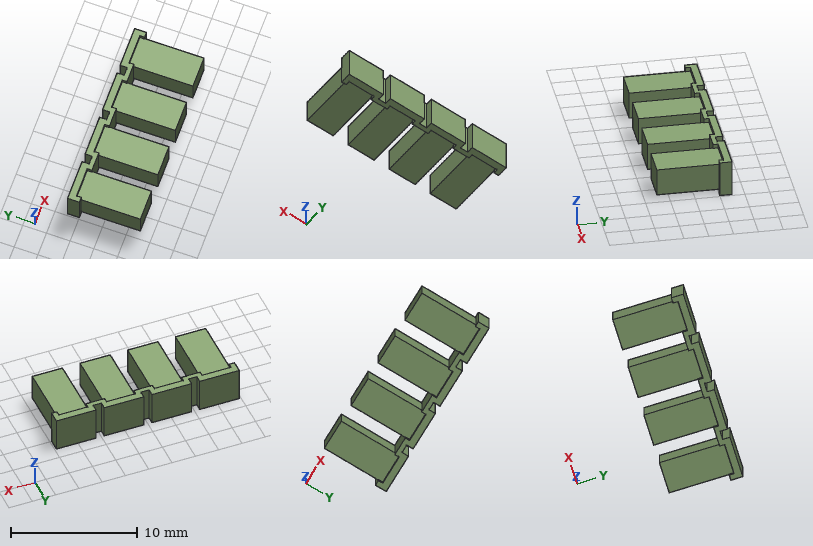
import cadquery as cq

BLOCK_COUNT = 4
BLOCK_PITCH = 4.1
BLOCK_WIDTH = 3.4
STRIP_HEIGHT = 3.0
STRIP_THICKNESS = 1.0
TOTAL_DEPTH = 6.0

WEB_THICKNESS = 0.4
RECESS_WIDTH = 2.5

PRONG_WIDTH = 2.6
PRONG_HEIGHT = 2.3

STRIP_LENGTH = (BLOCK_COUNT - 1) * BLOCK_PITCH + BLOCK_WIDTH
NOTCH_WIDTH = BLOCK_PITCH - BLOCK_WIDTH

FRONT_Y = -TOTAL_DEPTH / 2
BACK_Y = TOTAL_DEPTH / 2
STRIP_FRONT_Y = BACK_Y - STRIP_THICKNESS
FLOOR_Y = STRIP_FRONT_Y + WEB_THICKNESS


def row_positions(count):
    """X positions of a row of features at the block pitch, centred on X = 0."""
    return [(i - (count - 1) / 2) * BLOCK_PITCH for i in range(count)]


def centred_box(x_centre, width, y_start, y_end, height):
    """Box centred on x_centre and Z = 0, reaching from y_start to y_end."""
    depth = y_end - y_start
    return cq.Workplane("XY").box(width, depth, height).translate((x_centre, y_start + depth / 2, 0))


def make_strip():
    """Strip with a front recess in each block and a back notch between blocks."""
    strip = centred_box(0, STRIP_LENGTH, STRIP_FRONT_Y, BACK_Y, STRIP_HEIGHT)
    for x in row_positions(BLOCK_COUNT):
        strip = strip.cut(centred_box(x, RECESS_WIDTH, STRIP_FRONT_Y, FLOOR_Y, STRIP_HEIGHT))
    for x in row_positions(BLOCK_COUNT - 1):
        strip = strip.cut(centred_box(x, NOTCH_WIDTH, FLOOR_Y, BACK_Y, STRIP_HEIGHT))
    return strip


def add_prongs(body):
    """Join one prong to the recess floor of each block."""
    for x in row_positions(BLOCK_COUNT):
        body = body.union(centred_box(x, PRONG_WIDTH, FRONT_Y, FLOOR_Y, PRONG_HEIGHT))
    return body


result = add_prongs(make_strip())